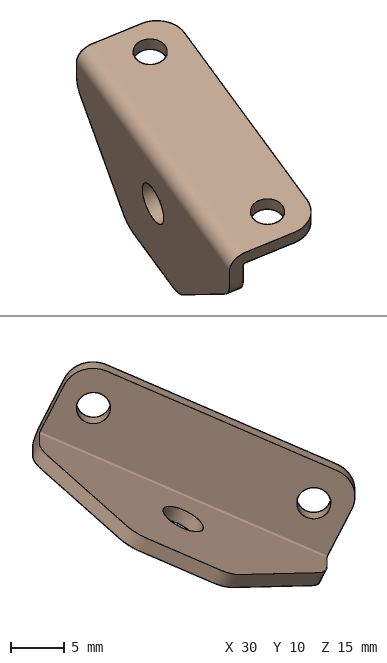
import cadquery as cq

width = 30.0
depth = 10.0
height = 15.0
thickness = 1.5

inner_bend_radius = 0.18
outer_bend_radius = inner_bend_radius + thickness
corner_radius = 3.0

straight_side_height = 5.0
taper = height - straight_side_height

mount_hole_diameter = 3.2
mount_hole_side_inset = 3.5
mount_hole_back_inset = 4.0
pivot_hole_diameter = 4.2
pivot_hole_drop = 7.0

half_width = width / 2


def bent_sheet():
    """L-shaped sheet: outer front face on Y = 0, top face on Z = 0."""
    profile = (
        cq.Workplane("YZ")
        .moveTo(0, 0)
        .lineTo(depth, 0)
        .lineTo(depth, -thickness)
        .lineTo(thickness, -thickness)
        .lineTo(thickness, -height)
        .lineTo(0, -height)
        .close()
    )
    sheet = profile.extrude(half_width, both=True)
    sheet = sheet.edges("|X and <Y and >Z").fillet(outer_bend_radius)
    inner_corner = cq.selectors.NearestToPointSelector((0, thickness, -thickness))
    return sheet.edges("|X").edges(inner_corner).fillet(inner_bend_radius)


def front_outline():
    """Tapered front silhouette with rounded lower corners, through the full depth."""
    prism = (
        cq.Workplane("XZ")
        .moveTo(-half_width, 0)
        .lineTo(half_width, 0)
        .lineTo(half_width, -straight_side_height)
        .lineTo(half_width - taper, -height)
        .lineTo(-half_width + taper, -height)
        .lineTo(-half_width, -straight_side_height)
        .close()
        .extrude(-depth)
    )
    lower_edges = prism.edges("|Y").edges("not(>Z)")
    return lower_edges.fillet(corner_radius)


def mount_holes():
    """Vertical cutters for the two holes in the top plate."""
    hole_x = half_width - mount_hole_side_inset
    hole_y = depth - mount_hole_back_inset
    return (
        cq.Workplane("XY")
        .pushPoints([(-hole_x, hole_y), (hole_x, hole_y)])
        .circle(mount_hole_diameter / 2)
        .extrude(-thickness)
    )


def pivot_hole():
    """Cutter for the central hole through the front plate."""
    return (
        cq.Workplane("XZ")
        .center(0, -pivot_hole_drop)
        .circle(pivot_hole_diameter / 2)
        .extrude(-thickness)
    )


bracket = bent_sheet().intersect(front_outline())
bracket = bracket.edges("|Z and >Y").fillet(corner_radius)
result = bracket.cut(mount_holes()).cut(pivot_hole())